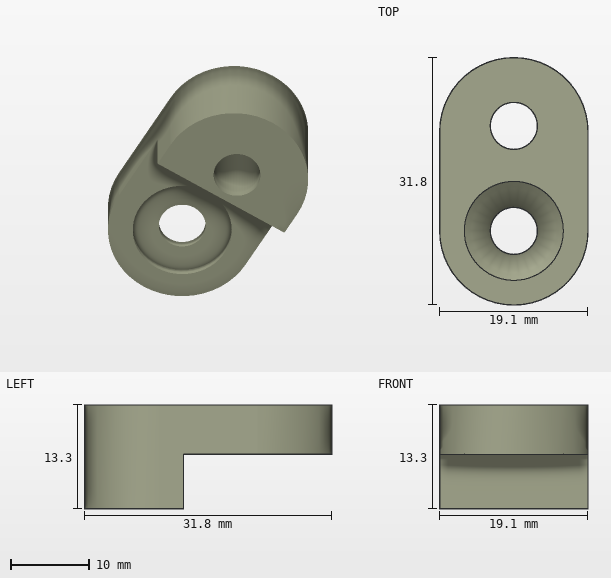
import cadquery as cq
import math

width = 19.05
length = 31.75
plate_thickness = 6.35

foot_length = 12.7
foot_height = 6.985

hole_diameter = 6.0
countersink_diameter = 12.7
countersink_angle = 82.0
hole_spacing = 13.46

recess_diameter = countersink_diameter
recess_depth = 1.24

end_radius = width / 2
end_spacing = length - width
far_end_y = end_spacing + end_radius
plate_top = foot_height + plate_thickness
countersink_ledge = (countersink_diameter - hole_diameter) / 2
countersink_depth = countersink_ledge / math.tan(math.radians(countersink_angle / 2))


def rounded_bar(bottom, height):
    """Bar with rounded ends, running along Y, with its -Y end centred on the origin."""
    return (
        cq.Workplane("XY", origin=(0, end_spacing / 2, bottom))
        .slot2D(length, width, 90)
        .extrude(height)
    )


def foot():
    """The +Y end of the bar outline, cut off square on its -Y side."""
    keep = (
        cq.Workplane("XY", origin=(0, far_end_y - foot_length / 2, 0))
        .rect(width, foot_length)
        .extrude(foot_height)
    )
    return rounded_bar(0, foot_height).intersect(keep)


def through_holes():
    """Two through holes on the centre line."""
    return (
        cq.Workplane("XY")
        .pushPoints([(0, 0), (0, hole_spacing)])
        .circle(hole_diameter / 2)
        .extrude(plate_top)
    )


def countersink():
    """Cone that opens from the hole diameter up to the plate top."""
    return (
        cq.Workplane("XY", origin=(0, 0, plate_top - countersink_depth))
        .circle(hole_diameter / 2)
        .workplane(offset=countersink_depth)
        .circle(countersink_diameter / 2)
        .loft(combine=True)
    )


def underside_recess():
    """Round recess in the plate underside, concentric with the countersink."""
    return (
        cq.Workplane("XY", origin=(0, 0, foot_height))
        .circle(recess_diameter / 2)
        .extrude(recess_depth)
    )


body = rounded_bar(foot_height, plate_thickness).union(foot())
result = body.cut(through_holes()).cut(countersink()).cut(underside_recess())